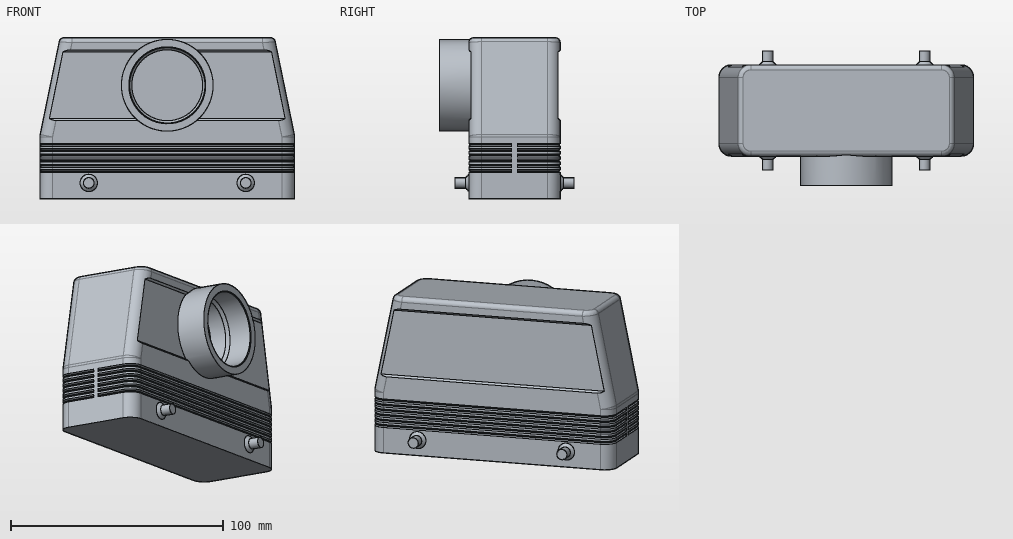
import cadquery as cq
length = 120.0
depth = 43.1
height = 76.0
straight_height = 29.8
top_length = 101.0
corner_radius = 6.0
top_edge_radius = 2.4
bend_radius = 6.0
half_depth = depth / 2

recess_depth = 1.0
recess_bottom = 37.0
recess_top = 70.2

groove_count = 6
groove_band_bottom = 12.4
groove_band_top = 26.2
groove_width = 1.5
groove_depth = 0.6
lowest_groove = groove_band_bottom + groove_width / 2
groove_pitch = (groove_band_top - groove_band_bottom - groove_width) / (groove_count - 1)
end_rib_width = 2.8

collar_radius = 21.6
collar_center_z = 53.5
collar_face_y = -35.4
bore_radius = 17.8
bore_step_depth = 11.8
bore_step_length = 1.7
inner_bore_radius = 16.7
bore_total_depth = 22.0
mouth_chamfer = 0.4

pin_offset_x = 37.0
pin_center_z = 7.5
pin_radius = 2.5
pin_tip_y = 28.1
pin_base_radius = 4.1
pin_base_height = 1.5
pin_embedment = 1.2


def make_body():
    """Tapered block with softened bends, rounded corners and a rounded top edge."""
    block = (
        cq.Workplane("XZ")
        .polyline([
            (-length / 2, 0),
            (length / 2, 0),
            (length / 2, straight_height),
            (top_length / 2, height),
            (-top_length / 2, height),
            (-length / 2, straight_height),
        ])
        .close()
        .extrude(half_depth, both=True)
    )
    bends = cq.selectors.BoxSelector(
        (-length, -depth, 0.5 * straight_height),
        (length, depth, 1.5 * straight_height),
    )
    block = block.edges("|Y").edges(bends).fillet(bend_radius)
    rounded = block.edges("(not |X) and (not |Y)").fillet(corner_radius)
    return rounded.faces(">Z").edges().fillet(top_edge_radius)


def make_recess(side):
    """Full-length recess with 45 degree shoulders; side is +1 or -1 along Y."""
    outer = side * half_depth
    floor = side * (half_depth - recess_depth)
    return (
        cq.Workplane("YZ")
        .polyline([
            (outer, recess_bottom),
            (floor, recess_bottom + recess_depth),
            (floor, recess_top - recess_depth),
            (outer, recess_top),
        ])
        .close()
        .extrude(length / 2, both=True)
    )


def footprint(z, inset):
    """Rounded outline of the straight part at height z, shrunk by inset."""
    return (
        cq.Sketch()
        .rect(length - 2 * inset, depth - 2 * inset)
        .vertices()
        .fillet(corner_radius - inset)
        .moved(cq.Location(cq.Vector(0, 0, z)))
    )


def make_groove(z):
    """Ring with 45 degree walls and a flat floor, centred at height z,
    interrupted by a flush rib in the middle of each end wall."""
    half_width = groove_width / 2
    floor_half_width = half_width - groove_depth
    band = cq.Workplane().placeSketch(footprint(z - half_width, 0)).extrude(groove_width)
    floor = cq.Workplane().placeSketch(footprint(z - half_width, groove_depth)).extrude(groove_width)
    lower_wall = (
        cq.Workplane()
        .placeSketch(footprint(z - half_width, 0), footprint(z - floor_half_width, groove_depth))
        .loft()
    )
    upper_wall = (
        cq.Workplane()
        .placeSketch(footprint(z + floor_half_width, groove_depth), footprint(z + half_width, 0))
        .loft()
    )
    end_ribs = cq.Workplane().box(length, end_rib_width, groove_width).translate((0, 0, z))
    return band.cut(floor).cut(lower_wall).cut(upper_wall).cut(end_ribs)


def make_collar():
    """Round collar running from the body's mid-plane out to its -Y face."""
    return (
        cq.Workplane("XZ", origin=(0, 0, collar_center_z))
        .circle(collar_radius)
        .extrude(-collar_face_y)
    )


def make_bore():
    """Stepped blind bore with a chamfered mouth and a conical step, turned about its axis."""
    return (
        cq.Workplane("XY")
        .polyline([
            (0, 0),
            (bore_radius + mouth_chamfer, 0),
            (bore_radius, mouth_chamfer),
            (bore_radius, bore_step_depth),
            (inner_bore_radius, bore_step_depth + bore_step_length),
            (inner_bore_radius, bore_total_depth),
            (0, bore_total_depth),
        ])
        .close()
        .revolve(360, (0, 0, 0), (0, 1, 0))
        .translate((0, collar_face_y, collar_center_z))
    )


def make_pin(x, side):
    """Locking pin with a conical root, embedded in the lower wall; side is +1 or -1 along Y."""
    root_y = half_depth - pin_embedment
    wall_y = half_depth
    return (
        cq.Workplane("XY")
        .polyline([
            (0, side * root_y),
            (pin_base_radius, side * root_y),
            (pin_base_radius, side * wall_y),
            (pin_radius, side * (wall_y + pin_base_height)),
            (pin_radius, side * pin_tip_y),
            (0, side * pin_tip_y),
        ])
        .close()
        .revolve(360, (0, 0, 0), (0, 1, 0))
        .translate((x, 0, pin_center_z))
    )


result = make_body()

for side in (1, -1):
    result = result.cut(make_recess(side))

for index in range(groove_count):
    result = result.cut(make_groove(lowest_groove + index * groove_pitch))

result = result.union(make_collar())
result = result.cut(make_bore())

for side in (1, -1):
    for x in (-pin_offset_x, pin_offset_x):
        result = result.union(make_pin(x, side))